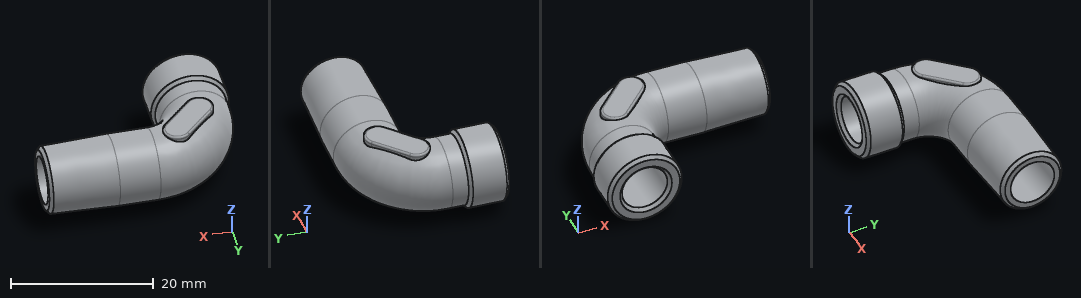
import cadquery as cq
import math

pipe_diameter = 10.29
bore_diameter = 6.89
inner_bend_radius = 3.0
bend_radius = inner_bend_radius + pipe_diameter / 2
bend_middle = bend_radius * (1 - math.sqrt(0.5))

socket_end = 16.5
collar_diameter = 11.29
collar_length = 6.0
shoulder_chamfer = (collar_diameter - pipe_diameter) / 2
collar_chamfer = 0.5
bore_chamfer = 0.5

spigot_end = 24.0
taper_length = 10.0
taper_ratio = 1 / 16
spigot_chamfer = 0.5
spigot_end_diameter = pipe_diameter - taper_ratio * taper_length

pad_rise = 0.3
pad_width = 4.0
pad_straight_length = 6.0
pad_fillet = 0.3
pad_top = pipe_diameter / 2 + pad_rise
pad_angle = 45.0


def elbow(diameter):
    """Round bar following both legs and the quarter-circle bend between them."""
    path = (
        cq.Workplane("XY")
        .moveTo(0, -socket_end)
        .lineTo(0, -bend_radius)
        .threePointArc((bend_middle, -bend_middle), (bend_radius, 0))
        .lineTo(spigot_end - taper_length, 0)
    )
    profile = cq.Workplane("XZ", origin=(0, -socket_end, 0)).circle(diameter / 2)
    return profile.sweep(path)


def collar():
    """Thicker ring at the socket mouth, chamfered at both ends."""
    ring = (
        cq.Workplane("XZ", origin=(0, -socket_end, 0))
        .circle(collar_diameter / 2)
        .extrude(-collar_length)
    )
    return ring.faces("<Y").chamfer(collar_chamfer).faces(">Y").chamfer(shoulder_chamfer)


def spigot():
    """Tapered end of the spigot leg with a chamfered tip."""
    cone = (
        cq.Workplane("YZ", origin=(spigot_end - taper_length, 0, 0))
        .circle(pipe_diameter / 2)
        .workplane(offset=taper_length)
        .circle(spigot_end_diameter / 2)
        .loft()
    )
    return cone.faces(">X").chamfer(spigot_chamfer)


def label_pad():
    """Slot-shaped pad centred over the middle of the bend, rounded along its top edge."""
    return (
        cq.Workplane("XY", origin=(bend_middle, -bend_middle, 0))
        .slot2D(pad_straight_length + pad_width, pad_width, pad_angle)
        .extrude(pad_top)
        .faces(">Z")
        .edges()
        .fillet(pad_fillet)
    )


def bore():
    """Passage through both legs, widened by a chamfer at the socket mouth."""
    spigot_bore = (
        cq.Workplane("YZ", origin=(spigot_end - taper_length, 0, 0))
        .circle(bore_diameter / 2)
        .extrude(taper_length)
    )
    mouth = (
        cq.Workplane("XZ", origin=(0, -socket_end, 0))
        .circle(bore_diameter / 2 + bore_chamfer)
        .workplane(offset=-bore_chamfer)
        .circle(bore_diameter / 2)
        .loft()
    )
    return elbow(bore_diameter).union(spigot_bore).union(mouth)


body = elbow(pipe_diameter).union(collar()).union(spigot()).union(label_pad())
result = body.cut(bore())